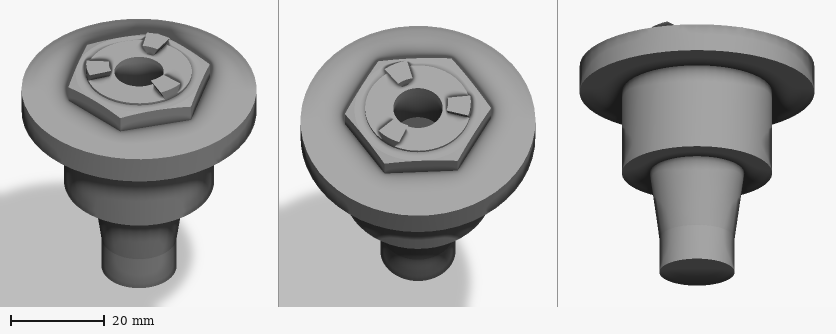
import cadquery as cq
import math

spigot_diameter = 16.0
taper_top_diameter = 20.15
barrel_diameter = 32.0
flange_diameter = 50.0
taper_bottom_z = 7.7
barrel_bottom_z = 22.55
flange_bottom_z = 41.0
flange_top_z = 46.9

hex_sides = 6
hex_half_angle = 180 / hex_sides
hex_across_flats = 27.0
hex_top_z = 51.0
hex_chamfer_angle = 15
disk_diameter = 22.5
disk_top_z = 51.5

bore_diameter = 10.5
bore_floor_z = flange_bottom_z

tooth_count = 3
first_tooth_angle = 22.7
tooth_inner_radius = 6.45
tooth_outer_radius = disk_diameter / 2
tooth_inner_width = 3.5
tooth_outer_width = 5.4
tooth_undercut = 1.0
tooth_trim_margin = 0.55
tooth_top_z = 53.6


def cylinder(diameter, bottom_z, top_z):
    height = top_z - bottom_z
    return cq.Workplane("XY").workplane(offset=bottom_z).circle(diameter / 2).extrude(height)


def make_body():
    spigot_radius = spigot_diameter / 2
    barrel_radius = barrel_diameter / 2
    flange_radius = flange_diameter / 2
    return (
        cq.Workplane("XZ")
        .lineTo(spigot_radius, 0)
        .lineTo(spigot_radius, taper_bottom_z)
        .lineTo(taper_top_diameter / 2, barrel_bottom_z)
        .lineTo(barrel_radius, barrel_bottom_z)
        .lineTo(barrel_radius, flange_bottom_z)
        .lineTo(flange_radius, flange_bottom_z)
        .lineTo(flange_radius, flange_top_z)
        .lineTo(0, flange_top_z)
        .close()
        .revolve(360, (0, 0), (0, 1))
    )


def make_hexagon():
    corner_diameter = hex_across_flats / math.cos(math.radians(hex_half_angle))
    prism = (
        cq.Workplane("XY")
        .workplane(offset=flange_top_z)
        .transformed(rotate=(0, 0, hex_half_angle))
        .polygon(hex_sides, corner_diameter)
        .extrude(hex_top_z - flange_top_z)
    )
    top_radius = hex_across_flats / 2
    base_radius = corner_diameter
    base_z = hex_top_z - (base_radius - top_radius) * math.tan(math.radians(hex_chamfer_angle))
    chamfer_cone = (
        cq.Workplane("XZ")
        .moveTo(0, hex_top_z)
        .lineTo(top_radius, hex_top_z)
        .lineTo(base_radius, base_z)
        .lineTo(base_radius, 0)
        .lineTo(0, 0)
        .close()
        .revolve(360, (0, 0), (0, 1))
    )
    return prism.intersect(chamfer_cone)


def make_tooth():
    """One tooth along +X whose sides lean inward toward its foot."""
    side_slope = (tooth_outer_width - tooth_inner_width) / (tooth_outer_radius - tooth_inner_radius) / 2
    wedge_start = tooth_inner_radius - tooth_trim_margin
    wedge_end = tooth_outer_radius + tooth_trim_margin

    def outline(undercut):
        start_half = tooth_inner_width / 2 + (wedge_start - tooth_inner_radius) * side_slope - undercut
        end_half = tooth_outer_width / 2 + (wedge_end - tooth_outer_radius) * side_slope - undercut
        return [
            (wedge_start, -start_half),
            (wedge_end, -end_half),
            (wedge_end, end_half),
            (wedge_start, start_half),
        ]

    wedge = (
        cq.Workplane("XY")
        .workplane(offset=disk_top_z)
        .polyline(outline(tooth_undercut))
        .close()
        .workplane(offset=tooth_top_z - disk_top_z)
        .polyline(outline(0))
        .close()
        .loft(ruled=True)
    )
    ring = cylinder(2 * tooth_outer_radius, disk_top_z, tooth_top_z).cut(
        cylinder(2 * tooth_inner_radius, disk_top_z, tooth_top_z)
    )
    return wedge.intersect(ring)


result = make_body().union(make_hexagon()).union(cylinder(disk_diameter, hex_top_z, disk_top_z))
result = result.cut(cylinder(bore_diameter, bore_floor_z, disk_top_z))

tooth = make_tooth()
for index in range(tooth_count):
    tooth_angle = first_tooth_angle + index * 360 / tooth_count
    result = result.union(tooth.rotate((0, 0, 0), (0, 0, 1), tooth_angle))